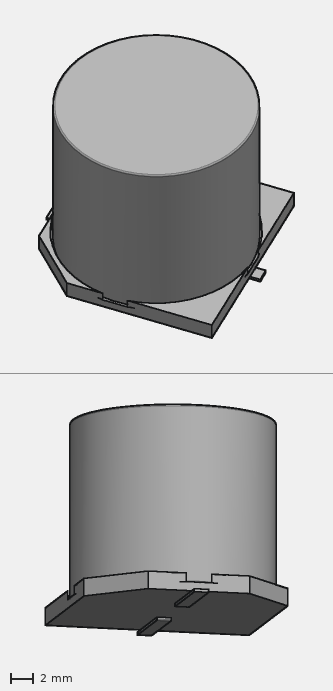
import cadquery as cq

total_length = 21.0
total_height = 17.5

base_size = 19.0
base_thickness = 1.62
corner_cut = 4.77
recess_depth = 0.8
recess_opening = 2.4

can_diameter = 18.7
can_edge_radius = 0.15

terminal_length = 7.27
terminal_width = 1.32
terminal_thickness = 0.27
terminal_end_radius = 0.13

base_top = terminal_thickness + base_thickness
recess_floor = base_top - recess_depth
recess_radius = ((base_size / 2) ** 2 + (recess_opening / 2) ** 2) ** 0.5


def make_base():
    """Square plate with two corners cut off and a round recess for the can."""
    plate = (
        cq.Workplane("XY")
        .box(base_size, base_size, base_thickness, centered=(True, True, False))
        .edges("|Z and <X")
        .chamfer(corner_cut)
        .translate((0, 0, terminal_thickness))
    )
    recess = (
        cq.Workplane("XY")
        .workplane(offset=recess_floor)
        .circle(recess_radius)
        .extrude(recess_depth)
    )
    return plate.cut(recess)


def make_can():
    """Upright cylinder with rounded rims, standing on the recess floor."""
    return (
        cq.Workplane("XY")
        .workplane(offset=recess_floor)
        .circle(can_diameter / 2)
        .extrude(total_height - recess_floor)
        .faces("<Z or >Z")
        .edges()
        .fillet(can_edge_radius)
    )


def make_terminal(side):
    """Flat strip below the base, on the -X (side = -1) or +X (side = 1) end."""
    center_x = side * (total_length - terminal_length) / 2
    inner_end = "<X" if side > 0 else ">X"
    return (
        cq.Workplane("XY")
        .box(terminal_length, terminal_width, terminal_thickness, centered=(True, True, False))
        .faces(inner_end)
        .edges("<Z")
        .fillet(terminal_end_radius)
        .translate((center_x, 0, 0))
    )


base = make_base()
can = make_can()
terminals = [make_terminal(side) for side in (-1, 1)]

result = cq.Compound.makeCompound(
    [base.val(), can.val(), *[terminal.val() for terminal in terminals]]
)